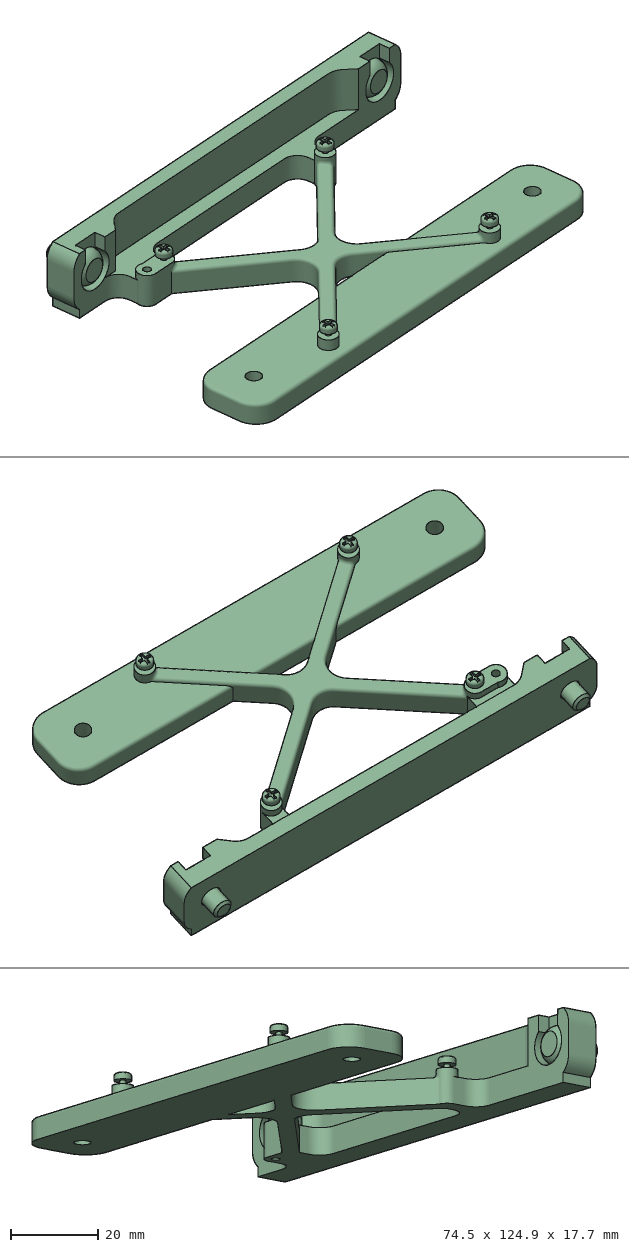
import cadquery as cq
import math


overall_length = 124.9

rail_thickness = 8.0
rail_length = 117.4
rail_height = 17.7
rail_chamfer = 2.0
rail_foot_height = 2.4
rail_corner_radius = 5.0
rail_axis_z = 10.2

step_floor_z = 6.5
step_wall_x = 4.0
step_end_low_y = -33.6
step_end_high_y = 45.7
step_corner_radius = 5.0

rail_screw_pitch = 102.1
rail_screw_diameter = 5.0
rail_screw_length = 10.0
rail_screw_tip_chamfer = 0.6
rail_head_diameter = 9.5
rail_head_height = 2.7
rail_head_rim = 0.2
rail_head_flat_diameter = 6.0
rail_head_dome_radius = 3.2
rail_hole_diameter = 5.4
rail_seat_depth = 3.0
rail_seat_diameter = 10.0
rail_slot_width = 7.0

plate_width = 20.0
plate_length = 120.0
plate_height = 5.6
plate_corner_radius = 6.0
plate_edge_radius = 1.0
plate_hole_diameter = 4.0
plate_hole_pitch = 100.0
plate_right_x = 69.5

near_post_x = 15.2
post_pitch_x = 49.1
post_pitch_y = 58.0
arm_width = 4.0
arm_height = 6.5
arm_edge_radius = 1.0
arm_corner_radius = 5.0
post_diameter = 5.0
post_height = 8.5
post_hole_depth = 6.0

tab_fillet = 4.0
high_tab_width = 4.5
low_tab_end_y = -37.3
eyelet_x = 15.1
eyelet_y = -34.8
eyelet_radius = 2.6
eyelet_hole_diameter = 2.0

post_screw_diameter = 1.5
post_screw_gap = 1.2
post_head_diameter = 4.1
post_head_height = 1.7
post_head_edge_radius = 0.7
recess_length = 3.0
recess_width = 0.7
recess_depth = 0.7

tolerance = 0.001

rail_high_y = overall_length - plate_length / 2
rail_low_y = rail_high_y - rail_length
rail_mid_y = (rail_low_y + rail_high_y) / 2
rail_screw_ys = [rail_mid_y + side * rail_screw_pitch / 2 for side in (-1, 1)]
seat_x = rail_thickness - rail_seat_depth
plate_mid_x = plate_right_x - plate_width / 2
cross_mid_x = near_post_x + post_pitch_x / 2
high_post_y = post_pitch_y / 2
low_post_y = -high_post_y
post_radius = post_diameter / 2
post_points = [
    (cross_mid_x + side_x * post_pitch_x / 2, side_y * post_pitch_y / 2)
    for side_x in (-1, 1)
    for side_y in (-1, 1)
]


def box(x0, x1, y0, y1, z0, z1):
    """Block between two opposite corners."""
    return cq.Workplane("XY").box(x1 - x0, y1 - y0, z1 - z0, centered=False).translate((x0, y0, z0))


def make_rail():
    """Bar with chamfered and rounded ends, narrowed again at its foot, and stepped along the inside."""
    upper_corner_z = rail_height - rail_chamfer
    lower_corner_z = rail_foot_height + rail_chamfer
    foot_low_y = rail_low_y + rail_chamfer
    foot_high_y = rail_high_y - rail_chamfer
    profile = [
        (foot_low_y, 0),
        (foot_high_y, 0),
        (foot_high_y, rail_foot_height),
        (rail_high_y, lower_corner_z),
        (rail_high_y, upper_corner_z),
        (foot_high_y, rail_height),
        (foot_low_y, rail_height),
        (rail_low_y, upper_corner_z),
        (rail_low_y, lower_corner_z),
        (foot_low_y, rail_foot_height),
    ]
    bar = cq.Workplane("YZ").polyline(profile).close().extrude(rail_thickness)
    bar = bar.edges("|X and (<Y or >Y)").fillet(rail_corner_radius)

    step_run = rail_thickness - step_wall_x
    step = (
        cq.Workplane("XY", origin=(0, 0, step_floor_z))
        .polyline(
            [
                (step_wall_x, step_end_low_y),
                (rail_thickness, step_end_low_y - step_run),
                (rail_thickness, step_end_high_y + step_run),
                (step_wall_x, step_end_high_y),
            ]
        )
        .close()
        .extrude(rail_height)
        .edges("|Z and <X")
        .fillet(step_corner_radius)
    )
    return bar.cut(step)


def make_rail_screw_cutter(y):
    """Through hole and head seat, with a slot that opens the seat to the rail top."""
    axis = cq.Workplane("YZ").center(y, rail_axis_z)
    hole = axis.circle(rail_hole_diameter / 2).extrude(rail_thickness)
    seat = axis.workplane(offset=seat_x).circle(rail_seat_diameter / 2).extrude(rail_seat_depth)
    half_slot = rail_slot_width / 2
    slot = box(seat_x, rail_thickness, y - half_slot, y + half_slot, rail_axis_z, rail_height)
    return hole.union(seat).union(slot)


def make_plate():
    """Long rounded plate with a softened top edge."""
    return (
        cq.Workplane("XY")
        .center(plate_mid_x, 0)
        .rect(plate_width, plate_length)
        .extrude(plate_height)
        .edges("|Z")
        .fillet(plate_corner_radius)
        .faces(">Z")
        .edges()
        .fillet(plate_edge_radius)
    )


def lies_on_post(edge):
    """True when an edge above the sides of the arms runs along the wall of a post."""
    base_z = arm_height - arm_edge_radius
    bounds = edge.BoundingBox()
    if bounds.zmin < base_z - tolerance or bounds.zmax > arm_height + tolerance:
        return False
    return any(
        all(
            abs(math.hypot(end.x - post_x, end.y - post_y) - post_radius) < tolerance
            for end in (edge.startPoint(), edge.endPoint())
        )
        for post_x, post_y in post_points
    )


def make_cross():
    """Diagonal arms with rounded inner corners and top edges, each arm flared up into its post."""
    arm_length = math.hypot(post_pitch_x, post_pitch_y)
    arm_angle = math.degrees(math.atan2(post_pitch_y, post_pitch_x))
    arms = [
        cq.Workplane("XY")
        .rect(arm_length, arm_width)
        .extrude(arm_height)
        .rotate((0, 0, 0), (0, 0, 1), angle)
        for angle in (arm_angle, -arm_angle)
    ]
    inner_corners = cq.selectors.BoxSelector(
        (-arm_width, -arm_width, 0), (arm_width, arm_width, arm_height)
    )
    cross = arms[0].union(arms[1]).edges("|Z").edges(inner_corners).fillet(arm_corner_radius)
    reach_without_ends = arm_length / 2 - arm_width
    top_edges = cross.faces(">Z").edges().vals()
    side_edges = [edge for edge in top_edges if edge.Center().Length < reach_without_ends]
    cross = cross.newObject(side_edges).fillet(arm_edge_radius).translate((cross_mid_x, 0, 0))
    posts = cq.Workplane("XY").pushPoints(post_points).circle(post_radius).extrude(post_height)
    cross = cross.union(posts)
    flare_edges = [edge for edge in cross.edges().vals() if lies_on_post(edge)]
    return cross.newObject(flare_edges).fillet(arm_edge_radius)


def make_tab(x_end, y0, y1):
    """Flat tab from the rail to a near post, flared into the rail by a fillet on each side."""
    tab = box(0, x_end, y0, y1, 0, arm_height)
    for edge_y, side in ((y0, -1), (y1, 1)):
        far_y = edge_y + side * tab_fillet
        flare = (
            cq.Workplane("XY")
            .moveTo(rail_thickness, edge_y)
            .lineTo(rail_thickness + tab_fillet, edge_y)
            .radiusArc((rail_thickness, far_y), side * tab_fillet)
            .close()
            .extrude(arm_height)
        )
        tab = tab.union(flare)
    return tab


def make_eyelet():
    """Raised strap that runs from the low near post to a rounded end."""
    strap_left_x = near_post_x - post_radius
    strap_right_x = eyelet_x + eyelet_radius
    strap = box(strap_left_x, strap_right_x, eyelet_y, low_post_y, 0, post_height)
    end = cq.Workplane("XY").center(eyelet_x, eyelet_y).circle(eyelet_radius).extrude(post_height)
    return strap.union(end)


def make_frame():
    """Rail, plate, cross and tabs as one piece, with all the screw holes."""
    high_tab_end_y = high_post_y + post_radius
    frame = (
        make_rail()
        .union(make_plate())
        .union(make_cross())
        .union(make_tab(near_post_x, high_tab_end_y - high_tab_width, high_tab_end_y))
        .union(make_tab(eyelet_x, low_tab_end_y, low_post_y + post_radius))
        .union(make_eyelet())
    )
    for y in rail_screw_ys:
        frame = frame.cut(make_rail_screw_cutter(y))
    plate_holes = (
        cq.Workplane("XY")
        .center(plate_mid_x, 0)
        .rarray(1.2, plate_hole_pitch, 1, 2)
        .circle(plate_hole_diameter / 2)
        .extrude(plate_height)
    )
    eyelet_hole = (
        cq.Workplane("XY").center(eyelet_x, eyelet_y).circle(eyelet_hole_diameter / 2).extrude(post_height)
    )
    post_holes = (
        cq.Workplane("XY", origin=(0, 0, post_height - post_hole_depth))
        .pushPoints(post_points)
        .circle(post_screw_diameter / 2)
        .extrude(post_hole_depth)
    )
    return frame.cut(plate_holes).cut(eyelet_hole).cut(post_holes)


def make_rail_screw(y):
    """Button-head screw along X, seated in the rail, its tip standing out of the outer face."""
    shank = (
        cq.Workplane("YZ", origin=(seat_x, y, rail_axis_z))
        .circle(rail_screw_diameter / 2)
        .extrude(-rail_screw_length)
        .faces("<X")
        .chamfer(rail_screw_tip_chamfer)
    )
    head_radius = rail_head_diameter / 2
    flat_radius = rail_head_flat_diameter / 2
    head = (
        cq.Workplane("XY")
        .lineTo(0, head_radius)
        .lineTo(rail_head_rim, head_radius)
        .radiusArc((rail_head_height, flat_radius), rail_head_dome_radius)
        .lineTo(rail_head_height, 0)
        .close()
        .revolve(360, (0, 0, 0), (1, 0, 0))
        .translate((seat_x, y, rail_axis_z))
    )
    return shank.union(head)


def make_post_screw(x, y):
    """Small cross-recessed screw that stands in a post with its head clear of the post top."""
    head_z = post_height + post_screw_gap
    shank = (
        cq.Workplane("XY", origin=(x, y, post_height - post_hole_depth))
        .circle(post_screw_diameter / 2)
        .extrude(post_hole_depth + post_screw_gap)
    )
    head = (
        cq.Workplane("XY", origin=(x, y, head_z))
        .circle(post_head_diameter / 2)
        .extrude(post_head_height)
        .faces(">Z")
        .edges()
        .fillet(post_head_edge_radius)
    )
    recess = cq.Workplane("XY", origin=(x, y, head_z + post_head_height))
    for length_x, length_y in ((recess_length, recess_width), (recess_width, recess_length)):
        head = head.cut(recess.rect(length_x, length_y).extrude(-recess_depth))
    return shank.union(head)


frame = make_frame()
rail_screws = [make_rail_screw(y).val() for y in rail_screw_ys]
post_screws = [make_post_screw(x, y).val() for x, y in post_points]
result = cq.Compound.makeCompound([frame.val(), *rail_screws, *post_screws])